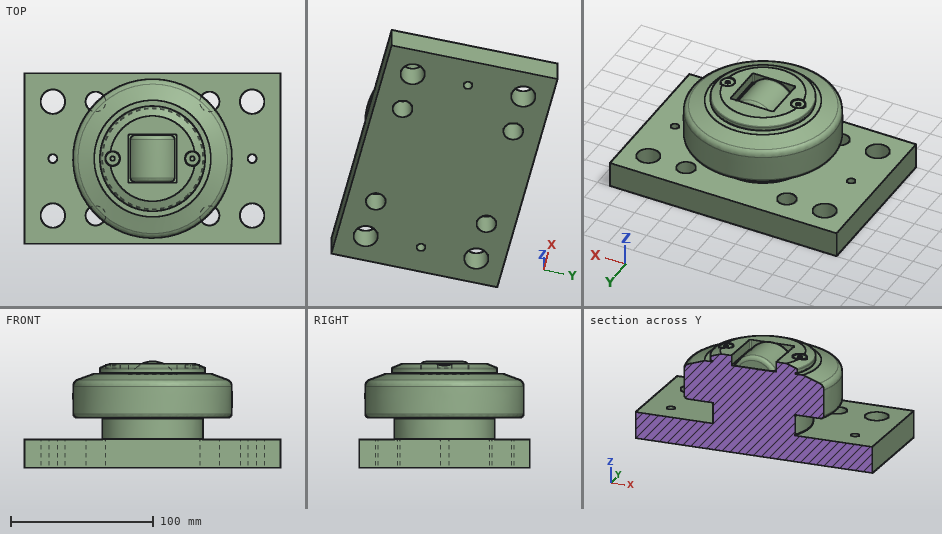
import cadquery as cq
import math

plate_length = 180.0
plate_width = 120.0
plate_thickness = 20.0

corner_hole_dia = 17.0
inner_hole_dia = 13.84
pin_hole_dia = 6.0
outer_hole_x = 70.0
inner_hole_x = 40.0
hole_row_y = 40.0

stem_dia = 71.0
stem_neck_dia = 70.5
stem_neck_height = 0.5

wheel_dia = 111.8
wheel_bottom_z = 35.2
wheel_top_z = 66.3
wheel_flat_dia = 82.0
wheel_cone_angle = 20.0
wheel_top_fillet = 5.0
wheel_bottom_fillet = 3.0
crown_radius = 500.0

cap_neck_dia = 71.6
cap_neck_height = 0.5
cap_dia = 74.0
cap_top_dia = 60.0
cap_shoulder_z = 70.3
cap_top_z = 73.2
cap_fillet = 0.7

pocket_size = 34.0
pocket_corner_radius = 1.0
pocket_depth = 7.5

roller_radius = 18.0
roller_length = 33.0
roller_fillet = 3.0
roller_top_z = 74.95

screw_offset_x = 28.0
screw_bore_dia = 10.5
screw_bore_depth = 3.0
screw_head_dia = 9.75
screw_head_recess = 0.6
screw_socket_dia = 3.2
screw_socket_depth = 0.8


def crown_sag(chord):
    """Drop of the crown from its middle to the ends of a chord."""
    return crown_radius - math.sqrt(crown_radius**2 - (chord / 2) ** 2)


def disc(dia, z_bottom, z_top, x=0.0, y=0.0):
    """Vertical cylinder between two heights."""
    return cq.Workplane("XY", origin=(x, y, z_bottom)).circle(dia / 2).extrude(z_top - z_bottom)


def make_plate():
    plate = cq.Workplane("XY").box(
        plate_length, plate_width, plate_thickness, centered=(True, True, False)
    )
    for side in (-1, 1):
        plate = plate.cut(disc(pin_hole_dia, 0, plate_thickness, side * outer_hole_x))
        for row in (-1, 1):
            y = row * hole_row_y
            plate = plate.cut(disc(corner_hole_dia, 0, plate_thickness, side * outer_hole_x, y))
            plate = plate.cut(disc(inner_hole_dia, 0, plate_thickness, side * inner_hole_x, y))
    return plate


def make_stem():
    neck = disc(stem_neck_dia, plate_thickness, wheel_bottom_z)
    body_bottom_z = plate_thickness + stem_neck_height
    body_top_z = wheel_bottom_z - stem_neck_height
    return neck.union(disc(stem_dia, body_bottom_z, body_top_z))


def make_wheel():
    crown_apex = wheel_dia / 2
    flat_radius = wheel_flat_dia / 2
    cone_drop = (crown_apex - flat_radius) * math.tan(math.radians(wheel_cone_angle))
    shoulder_z = wheel_top_z - cone_drop
    middle_z = (wheel_bottom_z + shoulder_z) / 2
    edge_radius = crown_apex - crown_sag(shoulder_z - wheel_bottom_z)
    wheel = (
        cq.Workplane("XZ")
        .moveTo(0, wheel_bottom_z)
        .lineTo(edge_radius, wheel_bottom_z)
        .threePointArc((crown_apex, middle_z), (edge_radius, shoulder_z))
        .lineTo(flat_radius, wheel_top_z)
        .lineTo(0, wheel_top_z)
        .close()
        .revolve(360, (0, 0, 0), (0, 1, 0))
    )
    wheel = wheel.edges("%CIRCLE").edges(">>Z[-2]").fillet(wheel_top_fillet)
    return wheel.edges("<Z").fillet(wheel_bottom_fillet)


def make_cap():
    radius = cap_dia / 2
    underside_z = wheel_top_z + cap_neck_height
    cap = (
        cq.Workplane("XZ")
        .moveTo(0, underside_z)
        .lineTo(radius, underside_z)
        .lineTo(radius, cap_shoulder_z)
        .lineTo(cap_top_dia / 2, cap_top_z)
        .lineTo(0, cap_top_z)
        .close()
        .revolve(360, (0, 0, 0), (0, 1, 0))
    )
    cap = cap.edges("%CIRCLE").edges(">>Z[-2]").fillet(cap_fillet)
    return cap.union(disc(cap_neck_dia, wheel_top_z, underside_z))


def pocket_prism(z_top):
    """Square prism with rounded corners from the pocket floor up to z_top."""
    floor_z = cap_top_z - pocket_depth
    prism = cq.Workplane("XY", origin=(0, 0, floor_z)).rect(pocket_size, pocket_size)
    return prism.extrude(z_top - floor_z).edges("|Z").fillet(pocket_corner_radius)


def make_roller():
    """Crowned roller, trimmed to the part above the pocket floor."""
    axis_z = roller_top_z - roller_radius
    half_length = roller_length / 2
    end_radius = roller_radius - crown_sag(roller_length)
    roller = (
        cq.Workplane("YZ", origin=(0, 0, axis_z))
        .moveTo(-half_length, 0)
        .lineTo(-half_length, end_radius)
        .threePointArc((0, roller_radius), (half_length, end_radius))
        .lineTo(half_length, 0)
        .close()
        .revolve(360, (0, 0, 0), (1, 0, 0))
    )
    roller = roller.faces("<Y or >Y").edges().fillet(roller_fillet)
    return roller.intersect(pocket_prism(roller_top_z + roller_radius))


def add_screw(body, x):
    bore_floor_z = cap_top_z - screw_bore_depth
    head_top_z = cap_top_z - screw_head_recess
    bore = disc(screw_bore_dia, bore_floor_z, cap_top_z, x)
    head = disc(screw_head_dia, bore_floor_z, head_top_z, x)
    socket = disc(screw_socket_dia, head_top_z - screw_socket_depth, head_top_z, x)
    return body.cut(bore).union(head.cut(socket))


body = make_plate().union(make_stem()).union(make_wheel()).union(make_cap())
body = body.cut(pocket_prism(cap_top_z)).union(make_roller())
for side in (-1, 1):
    body = add_screw(body, side * screw_offset_x)

result = body